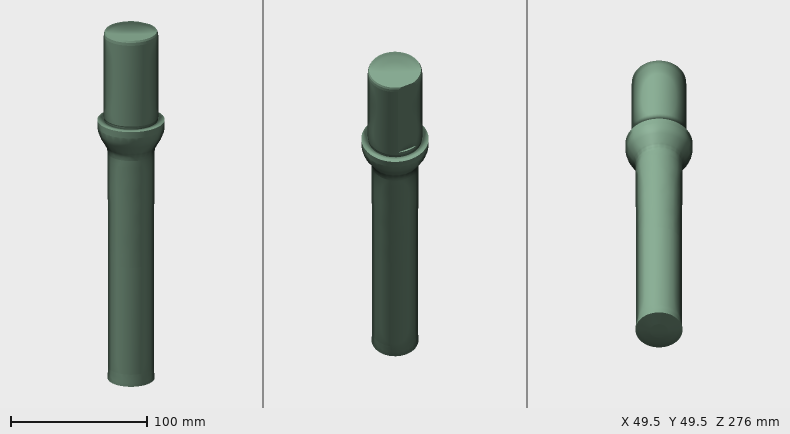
import cadquery as cq

total_length = 276.0
tip_height = 1.0
head_top = 10.5
taper_bottom = 95.2
taper_top = 175.0
flare_bottom = 180.0
flare_top = 201.0
collar_top = 206.0
shank_bottom = 207.5
flat_bottom = 211.0

tip_face_radius = 6.5
body_radius = 33.7 / 2
head_radius = 34.5 / 2
neck_radius = 34.5 / 2
collar_radius = 49.5 / 2
relief_radius = 39.5 / 2
shank_radius = 40.0 / 2

shank_bottom_chamfer = 0.8
lead_in_height = 3.5
end_chamfer_height = 1.5
end_face_radius = 19.0
flat_offset = 18.5

flare_turn_radius = 19.3
flare_turn_height = 187.0

vertical = (0, 1)


def make_cutting_head():
    """Short head that widens toward the tip and ends in a shallow blunt cone."""
    return (
        cq.Workplane("XZ")
        .moveTo(0, 0)
        .lineTo(tip_face_radius, 0)
        .lineTo(head_radius, tip_height)
        .lineTo(body_radius, head_top)
        .lineTo(0, head_top)
        .close()
        .revolve(360, (0, 0), (0, 1))
    )


def make_turned_holder():
    """Drill body, flared collar and shank as one turned shape."""
    return (
        cq.Workplane("XZ")
        .moveTo(0, head_top)
        .lineTo(body_radius, head_top)
        .lineTo(body_radius, taper_bottom)
        .lineTo(neck_radius, taper_top)
        .lineTo(neck_radius, flare_bottom)
        .spline(
            [(flare_turn_radius, flare_turn_height), (collar_radius, flare_top)],
            tangents=[vertical, vertical],
            includeCurrent=True,
        )
        .lineTo(collar_radius, collar_top)
        .lineTo(relief_radius, collar_top)
        .lineTo(relief_radius, shank_bottom)
        .lineTo(shank_radius, shank_bottom + shank_bottom_chamfer)
        .lineTo(shank_radius, total_length - lead_in_height)
        .lineTo(relief_radius, total_length - end_chamfer_height)
        .lineTo(end_face_radius, total_length)
        .lineTo(0, total_length)
        .close()
        .revolve(360, (0, 0), (0, 1))
    )


def make_flat_cutter():
    """Block that removes the clamping flat on the +Y side of the shank."""
    return cq.Workplane("XY").box(
        2 * shank_radius,
        shank_radius,
        total_length - flat_bottom,
        centered=(True, False, False),
    ).translate((0, flat_offset, flat_bottom))


cutting_head = make_cutting_head()
holder = make_turned_holder().cut(make_flat_cutter())

result = cq.Compound.makeCompound([cutting_head.val(), holder.val()])